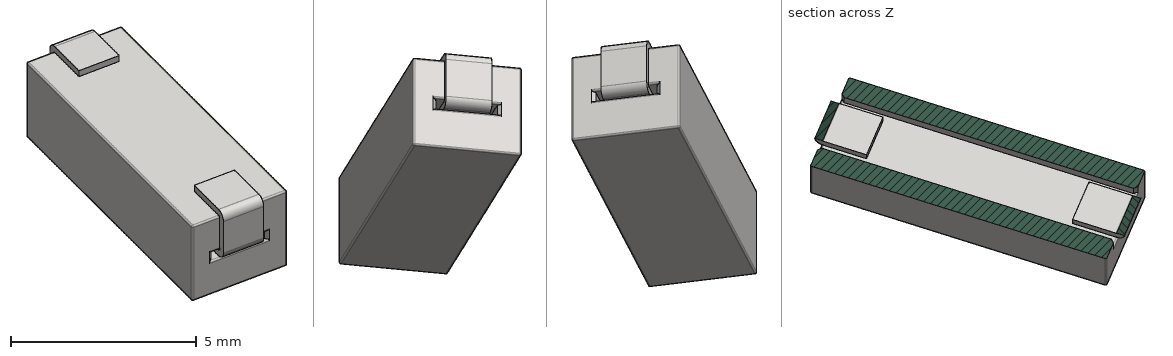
import cadquery as cq

HOUSING_LENGTH = 8.5
HOUSING_WIDTH = 3.0
HOUSING_EDGE_RADIUS = 0.05

OVERALL_LENGTH = 8.9
STRIP_THICKNESS = (OVERALL_LENGTH - HOUSING_LENGTH) / 2
STRIP_WIDTH = 1.27
BEND_OUTER_RADIUS = 0.25
BEND_INNER_RADIUS = BEND_OUTER_RADIUS - STRIP_THICKNESS
LEG_LENGTH = 1.495

OVERALL_HEIGHT = 2.75
HOUSING_HEIGHT = OVERALL_HEIGHT - STRIP_THICKNESS
SLOT_LEVEL = HOUSING_HEIGHT / 2

SLOT_WIDTH = 1.7
SLOT_HEIGHT = 0.3
MOUTH_FLARE = 0.1
MOUTH_ROUND = 0.05


def slot_void():
    """Flat through slot whose plan widens at the two end faces."""
    end_x = HOUSING_LENGTH / 2
    throat_x = end_x - MOUTH_FLARE
    half_throat = SLOT_WIDTH / 2
    half_mouth = half_throat + MOUTH_FLARE
    side_wall = [(-end_x, half_mouth), (-throat_x, half_throat), (throat_x, half_throat), (end_x, half_mouth)]
    opposite_wall = [(-x, -y) for x, y in side_wall]
    return (
        cq.Workplane("XY", origin=(0, 0, SLOT_LEVEL - SLOT_HEIGHT / 2))
        .polyline(side_wall + opposite_wall)
        .close()
        .extrude(SLOT_HEIGHT)
    )


def around_slot():
    """Selector box round the slot: longer than the housing, and twice the slot's width and height."""
    lower = (-HOUSING_LENGTH, -SLOT_WIDTH, SLOT_LEVEL - SLOT_HEIGHT)
    upper = (HOUSING_LENGTH, SLOT_WIDTH, SLOT_LEVEL + SLOT_HEIGHT)
    return cq.selectors.BoxSelector(lower, upper)


def make_housing():
    """Block with rounded edges and the flared through slot, rounded along its mouths."""
    block = (
        cq.Workplane("XY")
        .box(HOUSING_LENGTH, HOUSING_WIDTH, HOUSING_HEIGHT, centered=(True, True, False))
        .edges()
        .fillet(HOUSING_EDGE_RADIUS)
    )
    slotted = block.cut(slot_void())
    return slotted.faces("<X or >X").edges("|Y").edges(around_slot()).fillet(MOUTH_ROUND)


def strip_leg(end, level):
    """Flat strip lying between level and level + STRIP_THICKNESS, reaching from the outer end inwards."""
    centre_x = end * (OVERALL_LENGTH - LEG_LENGTH) / 2
    return (
        cq.Workplane("XY", origin=(centre_x, 0, level))
        .box(LEG_LENGTH, STRIP_WIDTH, STRIP_THICKNESS, centered=(True, True, False))
    )


def make_terminal(end):
    """C-shaped strip: a foot on top, a web down the end face and a tongue in the slot."""
    tongue_bottom = SLOT_LEVEL - STRIP_THICKNESS / 2
    web_centre_x = end * (OVERALL_LENGTH - STRIP_THICKNESS) / 2
    web = (
        cq.Workplane("XY", origin=(web_centre_x, 0, tongue_bottom))
        .box(STRIP_THICKNESS, STRIP_WIDTH, OVERALL_HEIGHT - tongue_bottom, centered=(True, True, False))
    )
    foot = strip_leg(end, HOUSING_HEIGHT)
    tongue = strip_leg(end, tongue_bottom)
    strip = web.union(foot).union(tongue)

    outer_face, inner_web_face = (">X", ">X[-2]") if end > 0 else ("<X", "<X[-2]")
    strip = strip.faces(outer_face).edges("|Y").fillet(BEND_OUTER_RADIUS)
    return strip.faces(inner_web_face).edges("|Y").fillet(BEND_INNER_RADIUS)


housing = make_housing()
terminals = [make_terminal(end) for end in (-1, 1)]

result = cq.Compound.makeCompound([housing.val(), *[terminal.val() for terminal in terminals]])